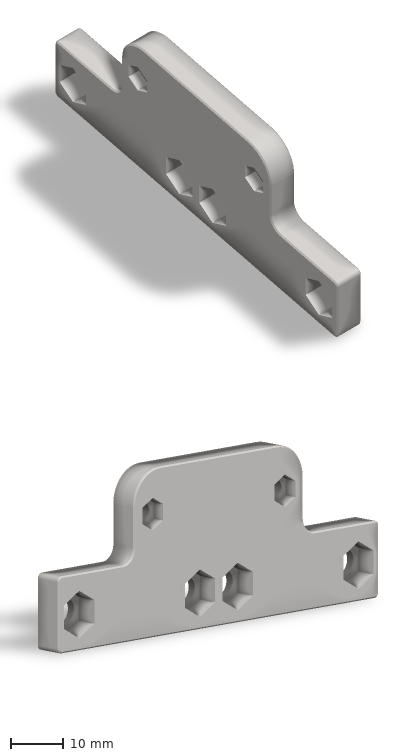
import cadquery as cq
import math

plate_length = 85.0
plate_height = 33.0
thickness = 6.0
bar_height = 15.0
block_width = 45.0

bar_corner_radius = 1.0
block_corner_radius = 7.0
block_root_radius = 3.0
face_chamfer = 0.3

large_hole_diameter = 5.5
large_nut_flats = 8.0
large_nut_depth = 4.2
large_bolt_z = 7.0
outer_bolt_x = 37.0
inner_bolt_x = 5.0

small_hole_diameter = 3.4
small_nut_flats = 5.5
small_nut_depth = 2.6
small_bolt_x = 17.5
small_bolt_z = 24.0

HEX_CORNERS_PER_FLATS = 2 / math.sqrt(3)


def front_plane(x, z):
    """Plane on the front face at (x, z), with its normal pointing into the plate."""
    return cq.Plane(origin=(x, 0, z), xDir=(0, 0, 1), normal=(0, 1, 0))


def corner_edges_at(plate, x, z):
    """Through-thickness edges at the outline corners (+x, z) and (-x, z)."""
    margin = 0.1
    boxes = [
        cq.selectors.BoxSelector(
            (side * x - margin, -margin, z - margin),
            (side * x + margin, thickness + margin, z + margin),
        )
        for side in (-1, 1)
    ]
    return plate.edges("|Y").edges(boxes[0] + boxes[1])


def make_plate():
    """Rounded stepped outline with both faces chamfered all round."""
    half_length = plate_length / 2
    half_block = block_width / 2
    block_height = plate_height - bar_height

    bar = cq.Workplane("XY").box(plate_length, thickness, bar_height, centered=(True, False, False))
    block = (
        cq.Workplane("XY", origin=(0, 0, bar_height))
        .box(block_width, thickness, block_height, centered=(True, False, False))
    )
    plate = bar.union(block).clean()

    plate = corner_edges_at(plate, half_length, 0).fillet(bar_corner_radius)
    plate = corner_edges_at(plate, half_length, bar_height).fillet(bar_corner_radius)
    plate = corner_edges_at(plate, half_block, plate_height).fillet(block_corner_radius)
    plate = corner_edges_at(plate, half_block, bar_height).fillet(block_root_radius)
    return plate.faces("<Y or >Y").edges().chamfer(face_chamfer)


def bolt_cutter(x, z, hole_diameter, nut_flats, nut_depth):
    """Through hole with a hexagonal nut pocket sunk from the front, one corner pointing up."""
    plane = front_plane(x, z)
    hole = cq.Workplane(plane).circle(hole_diameter / 2).extrude(thickness)
    pocket = cq.Workplane(plane).polygon(6, nut_flats * HEX_CORNERS_PER_FLATS).extrude(nut_depth)
    return hole.union(pocket)


result = make_plate()

for bolt_x in (-outer_bolt_x, -inner_bolt_x, inner_bolt_x, outer_bolt_x):
    result = result.cut(
        bolt_cutter(bolt_x, large_bolt_z, large_hole_diameter, large_nut_flats, large_nut_depth)
    )

for bolt_x in (-small_bolt_x, small_bolt_x):
    result = result.cut(
        bolt_cutter(bolt_x, small_bolt_z, small_hole_diameter, small_nut_flats, small_nut_depth)
    )